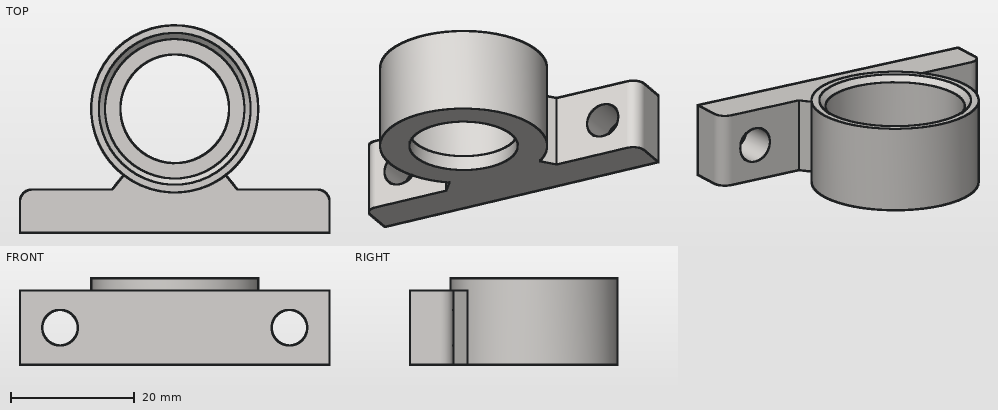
import cadquery as cq
import math

PLATE_LENGTH = 50.0
PLATE_THICKNESS = 7.0
PLATE_HEIGHT = 12.0
CORNER_RADIUS = 2.0

SCREW_DIAMETER = 5.7
SCREW_SPACING = 37.0

RING_DIAMETER = 27.0
RING_HEIGHT = 14.0
RING_CENTRE_Y = 20.0
SEAT_DIAMETER = 22.5
SEAT_FLOOR_HEIGHT = 2.5
THROUGH_DIAMETER = 17.5
SEAT_CHAMFER = 1.0

WEB_PLATE_WIDTH = 20.2
WEB_RING_WIDTH = 16.5
WEB_END_Y = RING_CENTRE_Y - math.sqrt((RING_DIAMETER / 2) ** 2 - (WEB_RING_WIDTH / 2) ** 2)


def make_plate():
    """Rectangular plate with its two ring-side vertical edges rounded."""
    plate = cq.Workplane("XY").box(
        PLATE_LENGTH, PLATE_THICKNESS, PLATE_HEIGHT, centered=(True, False, False)
    )
    return plate.faces(">Y").edges("|Z").fillet(CORNER_RADIUS)


def make_web():
    """Trapezoid from the plate face to the ring wall, as tall as the plate."""
    return (
        cq.Workplane("XY")
        .moveTo(-WEB_PLATE_WIDTH / 2, PLATE_THICKNESS)
        .lineTo(WEB_PLATE_WIDTH / 2, PLATE_THICKNESS)
        .lineTo(WEB_RING_WIDTH / 2, WEB_END_Y)
        .lineTo(-WEB_RING_WIDTH / 2, WEB_END_Y)
        .close()
        .extrude(PLATE_HEIGHT)
    )


def ring_cylinder(diameter, bottom, top):
    """Vertical cylinder on the ring axis between two heights."""
    return (
        cq.Workplane("XY", origin=(0, RING_CENTRE_Y, bottom))
        .circle(diameter / 2)
        .extrude(top - bottom)
    )


def make_bore():
    """Cutter for the through hole, the seat above it and the chamfered mouth."""
    through_hole = ring_cylinder(THROUGH_DIAMETER, 0, RING_HEIGHT)
    seat = ring_cylinder(SEAT_DIAMETER, SEAT_FLOOR_HEIGHT, RING_HEIGHT)
    mouth = cq.Workplane(
        cq.Solid.makeCone(
            SEAT_DIAMETER / 2,
            SEAT_DIAMETER / 2 + SEAT_CHAMFER,
            SEAT_CHAMFER,
            cq.Vector(0, RING_CENTRE_Y, RING_HEIGHT - SEAT_CHAMFER),
        )
    )
    return through_hole.union(seat).union(mouth)


def make_screw_holes():
    """Cutter for the two screw holes at mid height of the plate."""
    return (
        cq.Workplane("XZ", origin=(0, 0, PLATE_HEIGHT / 2))
        .pushPoints([(-SCREW_SPACING / 2, 0), (SCREW_SPACING / 2, 0)])
        .circle(SCREW_DIAMETER / 2)
        .extrude(-PLATE_THICKNESS)
    )


body = make_plate().union(make_web()).union(ring_cylinder(RING_DIAMETER, 0, RING_HEIGHT))
result = body.cut(make_bore()).cut(make_screw_holes())